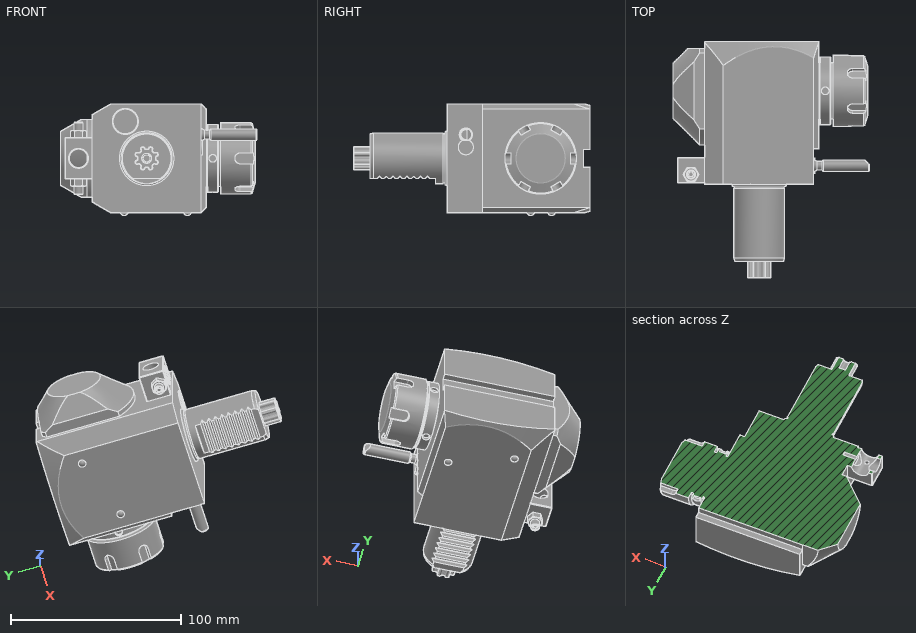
import cadquery as cq
import math


body_half_width = 32.0
body_half_height = 32.0
body_length = 84.0
side_slope_angle = 30.0
side_slope_width = 10.8
back_edge_chamfer = 0.4
pad_height = 3.0
pad_front = 20.8
key_slot_width = 10.1
key_slot_depth = 3.9

crown_radius = 150.0
crown_angle = 15.0
crown_x = 8.8
crown_rise = 31.1

recess_x = -12.5
recess_z = 21.7
recess_radius = 7.2
recess_depth = 0.8
recess_chamfer = 0.4

shank_radius = 15.0
shank_length = 45.3
collar_radius = 16.0
collar_length = 1.4
collar_fillet = 1.1
relief_radius = 14.6
relief_end = 2.4
shank_taper_length = 2.1
shank_taper_depth = 0.7
flat_depth = 3.0
flat_start = 7.0
notch_count = 8
notch_pitch = 4.0
first_notch = 11.5
notch_depth = 1.4
spline_length = 9.7
spline_radius = 7.2
spline_root_radius = 5.4
spline_teeth = 8
tooth_width = 2.5
tooth_tip_fillet = 1.1
tooth_root_fillet = 0.7
spline_chamfer = 0.3
centre_hole_radius = 2.1
centre_hole_depth = 7.0
centre_hole_chamfer = 0.8

spindle_y = 54.9

cap_end = -50.6
cap_base_radius = 32.0
cap_rim_length = 2.9
cap_half_height = 23.0
cap_tip_half_height = 15.8
cap_back = 79.9

neck_radius = 16.5
ring_start = 35.7
ring_end = 42.1
ring_radius = 20.0
ring_chamfer = 0.4
ring_hole_x = 38.8
ring_hole_radius = 2.2
ring_hole_depth = 2.1
ring_hole_count = 4
nut_start = 43.4
nut_end = 63.8
nut_radius = 21.0
nut_bevel_start = 61.2
nut_bevel = (0.8, 0.5)
nut_face_radius = 14.5
nut_slot_count = 6
nut_slot_width = 6.4
nut_slot_start = 51.7
nut_slot_floor = 17.5

block_left = -48.0
block_front = 0.8
block_back = 15.8
block_half_height = 12.2
block_chamfer = 0.4
front_port_x = -40.0
front_port_radius = 5.4
front_port_chamfer = 0.4
side_port_y = 8.5
side_port_radius = 4.7
side_port_end = -34.5
feed_radius = 1.3
feed_depth = 5.5

nipple_y = 5.8
hex_across_corners = 9.3
hex_height = 4.2
hex_bevel = 0.4
nipple_radius = 2.6
nipple_top = 21.3
nipple_chamfer = 0.4
socket_across_corners = 3.0
socket_depth = 1.7
nipple_bore_radius = 1.3

pin_y = 11.0
pin_z = 13.9
pin_radius = 3.5
pin_end = 64.8
pin_neck_radius = 2.6
pin_flange_radius = 3.9
pin_neck_start = 33.9
pin_neck_end = 36.8
pin_body_start = 37.7
pin_end_chamfer = 0.5
pin_bevel = 2.9

disc_radius = 4.5
disc_z = 6.5
disc_thickness = 0.8

plug_places = [(-13.2, 61.3), (23.9, 49.0)]
plug_radius = 2.2
plug_height = 1.7


def box_between(x0, x1, y0, y1, z0, z1):
    """Box spanning the given limits."""
    return cq.Workplane("XY").box(x1 - x0, y1 - y0, z1 - z0, centered=False).translate((x0, y0, z0))


def turned_about_x(profile, y=0):
    """Solid of revolution about an X-parallel axis at z = 0; the profile holds (x, radius) points."""
    outline = cq.Workplane("XY").polyline(profile).close()
    return outline.revolve(360, (0, 0, 0), (1, 0, 0)).translate((0, y, 0))


def turned_about_y(profile):
    """Solid of revolution about the Y axis; the profile holds (radius, y) points."""
    outline = cq.Workplane("XY").polyline(profile).close()
    return outline.revolve(360, (0, 0, 0), (0, 1, 0))


def make_body():
    slope_rise = side_slope_width * math.tan(math.radians(side_slope_angle))
    left_edge = body_half_height - slope_rise
    top_left = side_slope_width - body_half_width
    section = [
        (body_half_width, -body_half_height),
        (body_half_width, body_half_height),
        (top_left, body_half_height),
        (-body_half_width, left_edge),
        (-body_half_width, -left_edge),
        (top_left, -body_half_height),
    ]
    body = cq.Workplane("XZ").polyline(section).close().extrude(-body_length)
    body = body.edges("|Z and >Y and <X").chamfer(back_edge_chamfer)

    pad_right = body_half_width + pad_height
    pad_edge = body_half_height - pad_height
    pad_section = [
        (body_half_width, -body_half_height),
        (pad_right, -pad_edge),
        (pad_right, pad_edge),
        (body_half_width, body_half_height),
        (0, body_half_height),
        (0, -body_half_height),
    ]
    pad = cq.Workplane("XZ", origin=(0, pad_front, 0)).polyline(pad_section).close()
    body = body.union(pad.extrude(pad_front - body_length))

    front_radius = crown_radius + body_length * math.tan(math.radians(crown_angle))
    crown = turned_about_y([(0, 0), (front_radius, 0), (crown_radius, body_length), (0, body_length)])
    axis_drop = crown_radius - crown_rise
    for side in (1, -1):
        body = body.intersect(crown.translate((crown_x, 0, -side * axis_drop)))

    slot_half = key_slot_width / 2
    slot_floor = body_length - key_slot_depth
    body = body.cut(box_between(-body_half_width, pad_right, slot_floor, body_length, -slot_half, slot_half))

    mouth_radius = recess_radius + recess_chamfer
    recess = turned_about_y([
        (0, 0),
        (mouth_radius, 0),
        (recess_radius, recess_chamfer),
        (recess_radius, recess_depth),
        (0, recess_depth),
    ])
    return body.cut(recess.translate((recess_x, 0, recess_z)))


def make_shank():
    taper_radius = shank_radius - shank_taper_depth
    shank = turned_about_y([
        (0, 0),
        (relief_radius, 0),
        (relief_radius, -relief_end),
        (shank_radius, -relief_end),
        (shank_radius, shank_taper_length - shank_length),
        (taper_radius, -shank_length),
        (0, -shank_length),
    ])
    collar = cq.Workplane("XZ").circle(collar_radius).extrude(collar_length)
    shank = shank.union(collar.faces("<Y").edges().fillet(collar_fillet))
    flat_z = flat_depth - shank_radius
    shank = shank.cut(
        box_between(-shank_radius, shank_radius, -shank_length, -flat_start, -shank_radius, flat_z)
    )
    for index in range(notch_count):
        y = -(first_notch + index * notch_pitch)
        notch = (
            cq.Workplane("YZ", origin=(-shank_radius, 0, 0))
            .polyline([(y - notch_depth, flat_z), (y, flat_z + notch_depth), (y + notch_depth, flat_z)])
            .close()
            .extrude(2 * shank_radius)
        )
        shank = shank.cut(notch)
    return shank


def distance_from_y_axis(edge):
    return math.hypot(edge.Center().x, edge.Center().z)


def make_spline():
    length = spline_length
    spline = cq.Workplane("XZ").circle(spline_root_radius).extrude(length)
    tooth = cq.Workplane("XZ").center(spline_radius / 2, 0).rect(spline_radius, tooth_width).extrude(length)
    for index in range(spline_teeth):
        angle = (index + 0.5) * 360 / spline_teeth
        spline = spline.union(tooth.rotate((0, 0, 0), (0, 1, 0), angle))
    middle_radius = (spline_radius + spline_root_radius) / 2
    roots = spline.edges("|Y").filter(lambda edge: distance_from_y_axis(edge) < middle_radius)
    spline = roots.fillet(tooth_root_fillet)
    tips = spline.edges("|Y").filter(lambda edge: distance_from_y_axis(edge) > middle_radius)
    spline = tips.fillet(tooth_tip_fillet)
    spline = spline.faces("<Y").edges().chamfer(spline_chamfer)
    mouth_radius = centre_hole_radius + centre_hole_chamfer
    centre_hole = turned_about_y([
        (0, -length),
        (mouth_radius, -length),
        (centre_hole_radius, centre_hole_chamfer - length),
        (centre_hole_radius, centre_hole_depth - length),
        (0, centre_hole_depth - length),
    ])
    return spline.cut(centre_hole).translate((0, -shank_length, 0))


def make_cap():
    rim_x = -body_half_width - cap_rim_length
    tip_radius = cap_base_radius - (rim_x - cap_end)
    cap = turned_about_x(
        [
            (-body_half_width, 0),
            (-body_half_width, cap_base_radius),
            (rim_x, cap_base_radius),
            (cap_end, tip_radius),
            (cap_end, 0),
        ],
        spindle_y,
    )
    slope_run = (cap_half_height - cap_tip_half_height) / math.tan(math.radians(side_slope_angle))
    slope_x = cap_end + slope_run
    limits = (
        cq.Workplane("XZ", origin=(0, cap_back, 0))
        .polyline([
            (-body_half_width, -cap_half_height),
            (slope_x, -cap_half_height),
            (cap_end, -cap_tip_half_height),
            (cap_end, cap_tip_half_height),
            (slope_x, cap_half_height),
            (-body_half_width, cap_half_height),
        ])
        .close()
        .extrude(cap_back)
    )
    return cap.intersect(limits)


def make_collet_nut():
    bevel_length, bevel_depth = nut_bevel
    nut = turned_about_x(
        [
            (body_half_width, 0),
            (body_half_width, neck_radius),
            (ring_start, neck_radius),
            (ring_start, ring_radius),
            (ring_end - ring_chamfer, ring_radius),
            (ring_end, ring_radius - ring_chamfer),
            (ring_end, neck_radius),
            (nut_start, neck_radius),
            (nut_start, nut_radius),
            (nut_bevel_start, nut_radius),
            (nut_bevel_start + bevel_length, nut_radius - bevel_depth),
            (nut_end, nut_face_radius),
            (nut_end, 0),
        ]
    )
    ring_hole = (
        cq.Workplane("XY", origin=(ring_hole_x, 0, ring_radius - ring_hole_depth))
        .circle(ring_hole_radius)
        .extrude(ring_hole_depth)
    )
    for index in range(ring_hole_count):
        nut = nut.cut(ring_hole.rotate((0, 0, 0), (1, 0, 0), index * 360 / ring_hole_count))

    end_radius = nut_slot_width / 2
    round_x = nut_slot_start + end_radius
    depth = nut_radius - nut_slot_floor
    slot = (
        cq.Workplane("XY", origin=(0, 0, nut_slot_floor))
        .moveTo(nut_end, -end_radius)
        .lineTo(round_x, -end_radius)
        .threePointArc((nut_slot_start, 0), (round_x, end_radius))
        .lineTo(nut_end, end_radius)
        .close()
        .extrude(depth)
    )
    for index in range(nut_slot_count):
        angle = (index + 0.5) * 360 / nut_slot_count
        nut = nut.cut(slot.rotate((0, 0, 0), (1, 0, 0), angle))
    return nut.translate((0, spindle_y, 0))


def make_distributor():
    block = box_between(
        block_left, -body_half_width, block_front, block_back, -block_half_height, block_half_height
    )
    block = block.faces("<X or <Y or >Y").edges("not >X").chamfer(block_chamfer)
    bore = turned_about_y([
        (0, block_front),
        (front_port_radius + front_port_chamfer, block_front),
        (front_port_radius, block_front + front_port_chamfer),
        (front_port_radius, block_back),
        (0, block_back),
    ])
    return block.cut(bore.translate((front_port_x, 0, 0)))


def side_port():
    """Port through the distributor with a narrow feed hole going on into the body."""
    feed_end = feed_depth - body_half_width
    return turned_about_x(
        [
            (block_left, 0),
            (block_left, side_port_radius),
            (side_port_end, side_port_radius),
            (side_port_end, feed_radius),
            (feed_end, feed_radius),
            (feed_end, 0),
        ],
        side_port_y,
    )


def make_nipple():
    """Upper nipple: a bevelled hexagon and a round end with a hexagon socket."""
    hex_top = block_half_height + hex_height
    corner_radius = hex_across_corners / 2
    hexagon = (
        cq.Workplane("XY", origin=(0, 0, block_half_height))
        .polygon(6, hex_across_corners)
        .extrude(hex_height)
    )
    bevel_envelope = (
        cq.Workplane("XY", origin=(0, 0, block_half_height))
        .circle(corner_radius)
        .extrude(hex_height)
        .faces(">Z")
        .chamfer(hex_bevel, 2 * hex_bevel)
    )
    stem = (
        cq.Workplane("XY", origin=(0, 0, hex_top))
        .circle(nipple_radius)
        .extrude(nipple_top - hex_top)
        .faces(">Z")
        .chamfer(nipple_chamfer)
    )
    socket = (
        cq.Workplane("XY", origin=(0, 0, nipple_top - socket_depth))
        .polygon(6, socket_across_corners)
        .extrude(socket_depth)
    )
    nipple = hexagon.intersect(bevel_envelope).union(stem).cut(socket)
    return nipple.translate((front_port_x, nipple_y, 0))


def nipple_bore():
    """Narrow vertical bore crossing the front port and ending blind inside both hexagons."""
    reach = block_half_height + hex_height
    return (
        cq.Workplane("XY", origin=(front_port_x, nipple_y, 0))
        .circle(nipple_bore_radius)
        .extrude(reach, both=True)
    )


def make_pin():
    pin = turned_about_x(
        [
            (body_half_width, 0),
            (body_half_width, pin_flange_radius),
            (pin_neck_start, pin_neck_radius),
            (pin_neck_end, pin_neck_radius),
            (pin_body_start, pin_radius),
            (pin_end - pin_end_chamfer, pin_radius),
            (pin_end, pin_radius - pin_end_chamfer),
            (pin_end, 0),
        ]
    )
    bevel = (
        cq.Workplane("XY", origin=(0, 0, -pin_radius))
        .polyline([
            (pin_end, pin_radius - pin_bevel),
            (pin_end, pin_radius),
            (pin_end - pin_bevel, pin_radius),
        ])
        .close()
        .extrude(2 * pin_radius)
    )
    return pin.cut(bevel).translate((0, pin_y, pin_z))


def make_disc():
    """Flat disc on the right side of the body, just below the stop pin."""
    disc = cq.Workplane("YZ", origin=(body_half_width, pin_y, disc_z))
    return disc.circle(disc_radius).extrude(disc_thickness)


def make_plug(x, y):
    """Ball sunk into the underside of the body so that only a domed cap stands out."""
    ball_radius = (plug_radius**2 + plug_height**2) / (2 * plug_height)
    ball_z = ball_radius - plug_height - body_half_height
    return cq.Workplane("XY").sphere(ball_radius).translate((x, y, ball_z))


upper_nipple = make_nipple()
result = make_body()
for piece in (
    make_shank(),
    make_spline(),
    make_cap(),
    make_collet_nut(),
    make_distributor(),
    upper_nipple,
    upper_nipple.mirror("XY"),
    make_pin(),
    make_disc(),
):
    result = result.union(piece)
result = result.cut(side_port()).cut(nipple_bore())
for plug_x, plug_y in plug_places:
    result = result.union(make_plug(plug_x, plug_y))